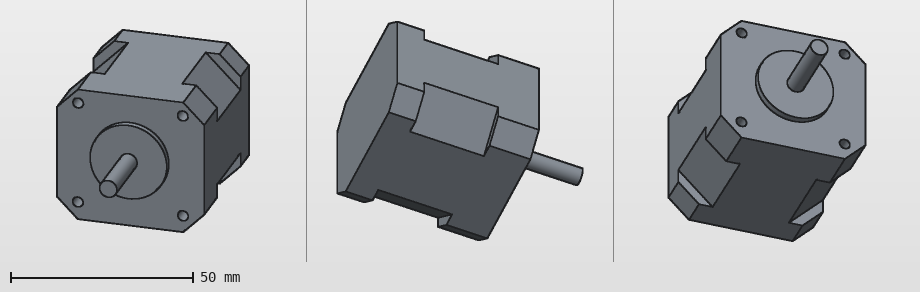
import cadquery as cq

body_width = 42.3
body_height = 39.0
body_length = 42.3
corner_chamfer = 6.0

waist_chamfer = 10.0
waist_length = 22.0
waist_setback = 12.2

axis_height = 0.5
pilot_diameter = 22.0
pilot_thickness = 2.0
shaft_diameter = 5.0
overall_length = 63.3
shaft_reach = overall_length - body_length

hole_diameter = 3.0
hole_depth = 6.0
hole_centers = [(-15.05, 15.45), (15.0, 15.45), (-15.1, -14.3), (15.05, -14.55)]


def octagonal_prism(chamfer, start, length):
    """Body section with chamfered corners, running back (+Y) from start."""
    return (
        cq.Workplane("XY")
        .box(body_width, length, body_height, centered=(True, False, True))
        .edges("|Y")
        .chamfer(chamfer)
        .translate((0, start, 0))
    )


def forward_cylinder(diameter, reach):
    """Cylinder on the motor axis, projecting forward (-Y) from the mounting face."""
    return (
        cq.Workplane("XZ")
        .center(0, axis_height)
        .circle(diameter / 2)
        .extrude(reach)
    )


def mounting_holes():
    return (
        cq.Workplane("XZ")
        .pushPoints(hole_centers)
        .circle(hole_diameter / 2)
        .extrude(-hole_depth)
    )


waist_end = waist_setback + waist_length
front_cap = octagonal_prism(corner_chamfer, 0, waist_setback)
waist = octagonal_prism(waist_chamfer, waist_setback, waist_length)
rear_cap = octagonal_prism(corner_chamfer, waist_end, body_length - waist_end)

result = (
    front_cap.union(waist)
    .union(rear_cap)
    .cut(mounting_holes())
    .union(forward_cylinder(pilot_diameter, pilot_thickness))
    .union(forward_cylinder(shaft_diameter, shaft_reach))
    .clean()
)